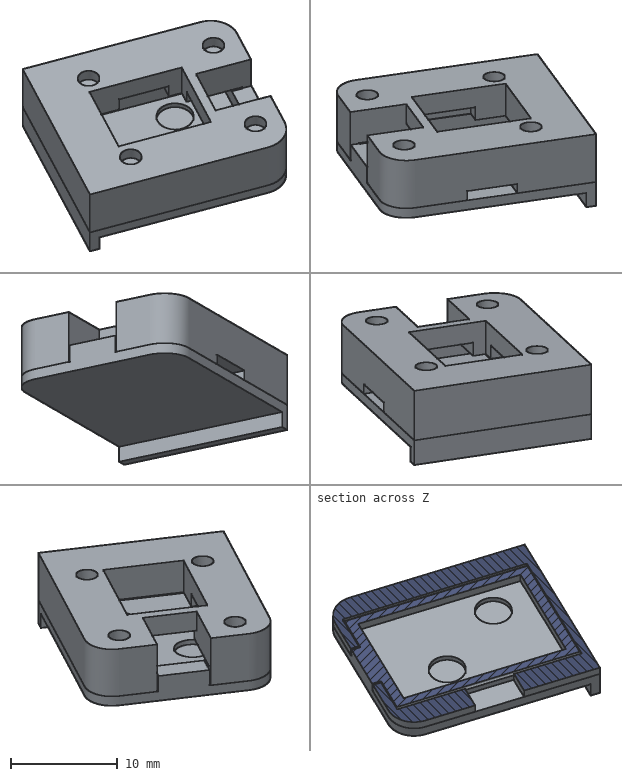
import cadquery as cq

width = 17.9
depth = 20.5
height = 7.5
corner_radius = 2.65

lip_thickness = 0.96
lip_drop = 1.5
plate_thickness = 1.0
split_z = lip_drop + plate_thickness

rim_inner_width = 10.7
rim_inner_depth = 16.52
rim_wall = 1.13
rim_outer_width = rim_inner_width + 2 * rim_wall
rim_outer_depth = rim_inner_depth + 2 * rim_wall
rim_height = 1.6
rim_draft = 2.8
groove_radius = 0.23
groove_height = rim_height / 2

ridge_width = 4.95
ridge_height = 1.65

window_center_y = -0.85
recess_diameter = 3.5
recess_depth = plate_thickness / 2
recess_offset_x = 2.73
recess_offset_y = 3.53

cavity_height = ridge_height
window_width = 7.77
window_depth = 9.25
slot_width = 5.2
slot_depth = 5.51
slot_front_y = depth / 2 - slot_depth
side_passage_length = 5.0
passage_height = 2.97
pry_opening_length = 4.96
pry_opening_height = 0.96

blind_hole_diameter = 2.03
blind_hole_depth = 1.15
blind_hole_x = 5.6
blind_hole_rear_y = 7.6
blind_hole_front_y = -4.9


def box(x_size, y_size, z_bottom, z_top, x_center=0, y_center=0):
    """Upright block spanning z_bottom to z_top."""
    return (
        cq.Workplane("XY", origin=(x_center, y_center, z_bottom))
        .rect(x_size, y_size)
        .extrude(z_top - z_bottom)
    )


def rounded_slab(z_bottom, z_top):
    """Full outline with the two rear corners rounded."""
    return box(width, depth, z_bottom, z_top).edges("|Z and >Y").fillet(corner_radius)


def make_rim():
    """Rectangular wall with drafted outer faces, straight inner faces and side grooves."""
    rim_top = split_z + rim_height
    rim = (
        cq.Workplane("XY", origin=(0, 0, split_z))
        .rect(rim_outer_width, rim_outer_depth)
        .extrude(rim_height, taper=rim_draft)
        .cut(box(rim_inner_width, rim_inner_depth, split_z, rim_top))
    )
    grooves = (
        cq.Workplane("XZ", origin=(0, rim_outer_depth / 2, split_z + groove_height))
        .pushPoints([(-rim_outer_width / 2, 0), (rim_outer_width / 2, 0)])
        .circle(groove_radius)
        .extrude(rim_outer_depth)
    )
    return rim.cut(grooves)


def make_base():
    plate = rounded_slab(lip_drop, split_z)
    lip = box(width, lip_thickness, 0, lip_drop, y_center=(lip_thickness - depth) / 2)
    ridge_length = (depth - rim_inner_depth) / 2
    ridge = box(
        ridge_width, ridge_length, split_z, split_z + ridge_height, y_center=(depth - ridge_length) / 2
    )
    recesses = (
        cq.Workplane("XY", origin=(0, window_center_y, split_z))
        .pushPoints([(-recess_offset_x, recess_offset_y), (recess_offset_x, -recess_offset_y)])
        .circle(recess_diameter / 2)
        .extrude(-recess_depth)
    )
    return plate.union(lip).union(make_rim()).union(ridge).cut(recesses)


def make_blind_holes():
    hole_centers = [
        (x, y)
        for x in (-blind_hole_x, blind_hole_x)
        for y in (blind_hole_front_y, blind_hole_rear_y)
    ]
    return (
        cq.Workplane("XY", origin=(0, 0, height))
        .pushPoints(hole_centers)
        .circle(blind_hole_diameter / 2)
        .extrude(-blind_hole_depth)
    )


def make_lid():
    passage_top = split_z + passage_height

    cavity = box(rim_outer_width, rim_outer_depth, split_z, split_z + cavity_height)
    window = box(window_width, window_depth, split_z, height, y_center=window_center_y)

    slot = box(slot_width, slot_depth, split_z, height, y_center=(depth - slot_depth) / 2)
    rear_passage = box(slot_width, slot_front_y, split_z, passage_top, y_center=slot_front_y / 2)
    side_passage = box(rim_inner_width, side_passage_length, split_z, passage_top)

    pry_opening = box(
        width / 2, pry_opening_length, split_z, split_z + pry_opening_height, x_center=-width / 4
    )

    lid = rounded_slab(split_z, height)
    for opening in (cavity, window, slot, rear_passage, side_passage, pry_opening, make_blind_holes()):
        lid = lid.cut(opening)
    return lid


base = make_base()
lid = make_lid()

result = cq.Compound.makeCompound([base.val(), lid.val()])